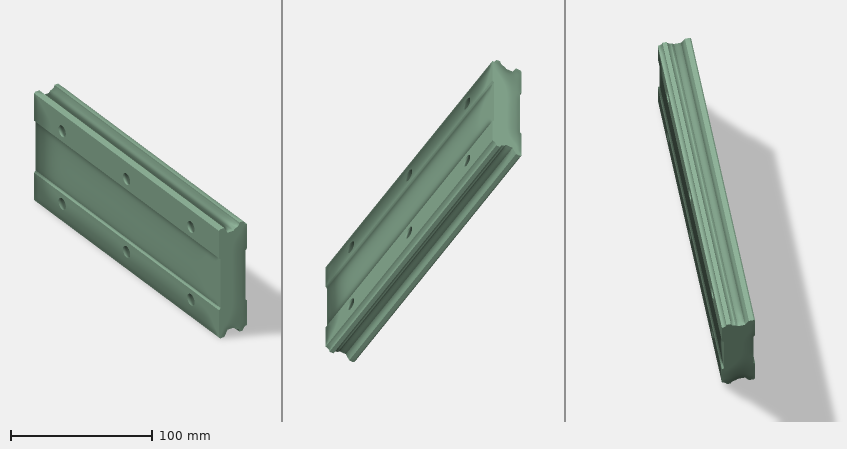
import cadquery as cq
import math

length = 230.0
thickness = 24.0
height = 90.0

relief_depth = 1.4
relief_half_floor = 20.0

race_radius = 3.3
outer_race_center_y = 12.0
inner_race_center_y = 2.2

channel_depth = 5.0
channel_inner_y = inner_race_center_y - (channel_depth - race_radius)
channel_outer_y = -4.7
channel_top_y = -7.5

edge_chamfer = 1.0

hole_diameter = 9.0
hole_pitch_x = 80.0
hole_spacing_z = 60.0
holes_per_row = 3
hole_rows = 2

half_thickness = thickness / 2
half_height = height / 2


def race_point(center_y, angle):
    """Point on a race arc centred level with the lip, angle in degrees from +Y."""
    turn = math.radians(angle)
    y = center_y + race_radius * math.cos(turn)
    z = half_height + race_radius * math.sin(turn)
    return y, z


def half_profile():
    """Upper half of the cross-section in the YZ plane, closed along z = 0."""
    relief_y = half_thickness - relief_depth
    relief_top = relief_half_floor + relief_depth
    return (
        cq.Workplane("YZ")
        .moveTo(relief_y, 0)
        .lineTo(relief_y, relief_half_floor)
        .lineTo(half_thickness, relief_top)
        .lineTo(*race_point(outer_race_center_y, -90))
        .threePointArc(race_point(outer_race_center_y, -135), race_point(outer_race_center_y, -180))
        .lineTo(*race_point(inner_race_center_y, 0))
        .threePointArc(race_point(inner_race_center_y, -45), race_point(inner_race_center_y, -90))
        .lineTo(channel_inner_y, half_height - channel_depth)
        .lineTo(channel_outer_y, half_height - channel_depth)
        .lineTo(channel_top_y, half_height)
        .lineTo(edge_chamfer - half_thickness, half_height)
        .lineTo(-half_thickness, half_height - edge_chamfer)
        .lineTo(-half_thickness, relief_top)
        .lineTo(-relief_y, relief_half_floor)
        .lineTo(-relief_y, 0)
        .close()
    )


def make_rail():
    """Extrude the upper half along X and mirror it about the XY plane."""
    upper = half_profile().extrude(length / 2, both=True)
    return upper.union(upper.mirror("XY")).clean()


def drill_holes(body):
    """Drill the grid of mounting holes straight through the thickness."""
    drills = (
        cq.Workplane("XZ")
        .rarray(hole_pitch_x, hole_spacing_z, holes_per_row, hole_rows)
        .circle(hole_diameter / 2)
        .extrude(half_thickness, both=True)
    )
    return body.cut(drills)


result = drill_holes(make_rail())